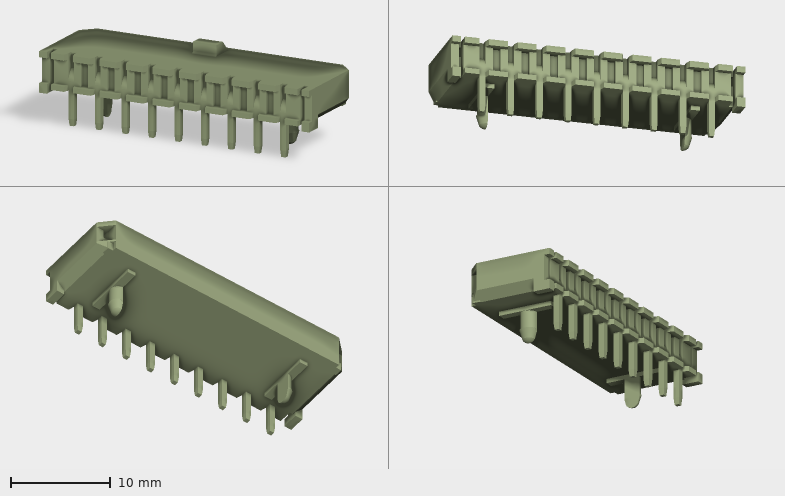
import cadquery as cq
import math


LENGTH = 30.65
DEPTH = 9.9
TOP_Z = 4.35
BASE_Z = 0.45
WALL_Y = 0.65
UPPER_LIP_Z = 3.7
LOWER_LIP_Z = 1.0
CORNER_CHAMFER = 1.38
BOTTOM_CHAMFER = 0.95
CORNER_RECESS_Z = 1.65

KEY_X = 14.55
KEY_REAR_Y = 9.4
KEY_TOP_Z = 1.4

FOOT_WIDTH = 0.85
FOOT_DEPTH = 1.87
SLOT_WIDTH = 0.45
SLOT_DEPTH = 1.5
CHANNEL_Z = 2.7

PIN_COUNT = 9
PITCH = 3.0
PIN_SIZE = 0.65
TIP_Z = -3.22
PIN_TAPER = 0.75
PIN_TIP_SIZE = 0.5
PIN_BEND_Z = 1.47
PIN_BEND_RADIUS = 1.45
NOTCH_MOUTH = 1.05
GROOVE_WIDTH = 0.83
GROOVE_DEPTH = 0.45

LATCH_WIDTH = 2.7
LATCH_FRONT_Y = 6.6
LATCH_HEIGHT = 1.2
LATCH_TOP_LENGTH = 1.32
LATCH_FILLET = 0.25

RAIL_INNER_X = 10.3
RAIL_WIDTH = 0.92
RAIL_FRONT_Y = 2.25
RAIL_LENGTH = 6.0
PEG_Y = 5.3
PEG_RADIUS = 0.9
PEG_BARB_Z = -1.85
PEG_BARB_RADIUS = 0.98
PEG_KNEE_Z = -2.85
PEG_KNEE_RADIUS = 0.67

HALF = LENGTH / 2
PIN_REAR_Y = WALL_Y + PIN_SIZE
SLOT_OUTER_X = HALF - FOOT_WIDTH
SLOT_INNER_X = SLOT_OUTER_X - SLOT_WIDTH
RECESS_X = HALF - CORNER_CHAMFER
PIN_XS = [(i - (PIN_COUNT - 1) / 2) * PITCH for i in range(PIN_COUNT)]


def block(x0, x1, y0, y1, z0, z1):
    """Box between two opposite corners."""
    return cq.Workplane("XY").box(x1 - x0, y1 - y0, z1 - z0, centered=False).translate((x0, y0, z0))


def both_ends(solid):
    """The +X solid together with its mirror image at -X."""
    return solid.union(solid.mirror("YZ"))


def make_shell():
    """Main block with sloped end edges, rear corner chamfers, lips and feet."""
    end_outline = [
        (-HALF, TOP_Z),
        (HALF, TOP_Z),
        (HALF, BASE_Z + BOTTOM_CHAMFER),
        (HALF - BOTTOM_CHAMFER, BASE_Z),
        (BOTTOM_CHAMFER - HALF, BASE_Z),
        (-HALF, BASE_Z + BOTTOM_CHAMFER),
    ]
    shell = cq.Workplane("XZ").polyline(end_outline).close().extrude(-DEPTH)
    foot = block(SLOT_OUTER_X, HALF, 0, FOOT_DEPTH, 0, TOP_Z)
    shell = shell.union(both_ends(foot))
    shell = shell.cut(block(-HALF, HALF, 0, WALL_Y, LOWER_LIP_Z, UPPER_LIP_Z))
    corner = (
        cq.Workplane("XY")
        .polyline([(HALF, DEPTH), (RECESS_X, DEPTH), (HALF, DEPTH - CORNER_CHAMFER)])
        .close()
        .extrude(TOP_Z)
    )
    return shell.cut(both_ends(corner))


def cut_ends(body):
    """Front slots, channels behind them, and stepped rear corners."""
    slot = block(SLOT_INNER_X, SLOT_OUTER_X, 0, SLOT_DEPTH, 0, TOP_Z)
    channel = block(SLOT_INNER_X, SLOT_OUTER_X, 0, DEPTH, CHANNEL_Z, UPPER_LIP_Z)
    recess = block(RECESS_X, HALF, DEPTH - CORNER_CHAMFER, DEPTH, CORNER_RECESS_Z, UPPER_LIP_Z)
    lower_step = block(RECESS_X, HALF, KEY_REAR_Y, DEPTH, BASE_Z, KEY_TOP_Z)
    for cutter in (slot, channel, recess, lower_step):
        body = body.cut(both_ends(cutter))
    key = block(RECESS_X, KEY_X, DEPTH - CORNER_CHAMFER, KEY_REAR_Y, BASE_Z, KEY_TOP_Z)
    return body.union(both_ends(key))


def pin_passage(x):
    """Flared lip notch leading into the upright pin channel."""
    outline = [
        (x - NOTCH_MOUTH / 2, 0),
        (x + NOTCH_MOUTH / 2, 0),
        (x + PIN_SIZE / 2, WALL_Y),
        (x + PIN_SIZE / 2, PIN_REAR_Y),
        (x - PIN_SIZE / 2, PIN_REAR_Y),
        (x - PIN_SIZE / 2, WALL_Y),
    ]
    return cq.Workplane("XY").polyline(outline).close().extrude(TOP_Z)


def make_pin(x):
    """Square tail with a rounded elbow on top and a tapered tip."""
    taper_z = TIP_Z + PIN_TAPER
    bend_y = WALL_Y + PIN_BEND_RADIUS - PIN_REAR_Y
    elbow_z = PIN_BEND_Z + math.sqrt(PIN_BEND_RADIUS**2 - bend_y**2)
    half_angle = math.acos(bend_y / PIN_BEND_RADIUS) / 2
    arc_mid = (
        WALL_Y + PIN_BEND_RADIUS * (1 - math.cos(half_angle)),
        PIN_BEND_Z + PIN_BEND_RADIUS * math.sin(half_angle),
    )
    tail = (
        cq.Workplane("YZ")
        .workplane(offset=x - PIN_SIZE / 2)
        .moveTo(WALL_Y, taper_z)
        .lineTo(WALL_Y, PIN_BEND_Z)
        .threePointArc(arc_mid, (PIN_REAR_Y, elbow_z))
        .lineTo(PIN_REAR_Y, taper_z)
        .close()
        .extrude(PIN_SIZE)
    )
    tip = (
        cq.Workplane("XY", origin=(x, WALL_Y + PIN_SIZE / 2, taper_z))
        .rect(PIN_SIZE, PIN_SIZE)
        .workplane(offset=-PIN_TAPER)
        .rect(PIN_TIP_SIZE, PIN_TIP_SIZE)
        .loft(ruled=True)
    )
    return tail.union(tip)


def make_latch():
    """Ramp with a concave fillet along the foot of its upright front face."""
    top_rear_y = LATCH_FRONT_Y + LATCH_TOP_LENGTH
    ramp = [
        (LATCH_FRONT_Y, TOP_Z),
        (LATCH_FRONT_Y, TOP_Z + LATCH_HEIGHT),
        (top_rear_y, TOP_Z + LATCH_HEIGHT),
        (top_rear_y + LATCH_HEIGHT, TOP_Z),
    ]
    side_plane = cq.Workplane("YZ", origin=(-LATCH_WIDTH / 2, 0, 0))
    latch = side_plane.polyline(ramp).close().extrude(LATCH_WIDTH)
    corner_to_arc = LATCH_FILLET * (1 - math.sqrt(0.5))
    fillet = (
        side_plane.moveTo(LATCH_FRONT_Y, TOP_Z)
        .lineTo(LATCH_FRONT_Y, TOP_Z + LATCH_FILLET)
        .threePointArc(
            (LATCH_FRONT_Y - corner_to_arc, TOP_Z + corner_to_arc),
            (LATCH_FRONT_Y - LATCH_FILLET, TOP_Z),
        )
        .close()
        .extrude(LATCH_WIDTH)
    )
    return latch.union(fillet)


def make_rail_and_peg():
    """Standoff rail and barbed half-round peg on the +X side."""
    rail_outer_x = RAIL_INNER_X + RAIL_WIDTH
    rail_rear_y = RAIL_FRONT_Y + RAIL_LENGTH
    rail = block(RAIL_INNER_X, rail_outer_x, RAIL_FRONT_Y, rail_rear_y, 0, BASE_Z)
    dome_height = PEG_KNEE_Z - TIP_Z
    dome_radius = (PEG_KNEE_RADIUS**2 + dome_height**2) / (2 * dome_height)
    dome_angle = math.asin(PEG_KNEE_RADIUS / dome_radius) / 2
    dome_mid = (
        dome_radius * math.sin(dome_angle),
        TIP_Z + dome_radius * (1 - math.cos(dome_angle)),
    )
    peg = (
        cq.Workplane("XZ")
        .moveTo(0, BASE_Z)
        .lineTo(PEG_RADIUS, BASE_Z)
        .lineTo(PEG_RADIUS, PEG_BARB_Z)
        .lineTo(PEG_BARB_RADIUS, PEG_BARB_Z)
        .lineTo(PEG_KNEE_RADIUS, PEG_KNEE_Z)
        .threePointArc(dome_mid, (0, TIP_Z))
        .close()
        .revolve(360, (0, 0, 0), (0, 1, 0))
    )
    peg = peg.intersect(block(0, HALF, -PEG_RADIUS, PEG_RADIUS, TIP_Z, BASE_Z))
    return rail.union(peg.translate((RAIL_INNER_X, PEG_Y, 0)))


def make_groove(x):
    """Upright relief in the front wall, centred on x."""
    x0 = x - GROOVE_WIDTH / 2
    return block(x0, x0 + GROOVE_WIDTH, WALL_Y, WALL_Y + GROOVE_DEPTH, LOWER_LIP_Z, UPPER_LIP_Z)


body = cut_ends(make_shell())
for pin_x in PIN_XS[:-1]:
    body = body.cut(make_groove(pin_x + PITCH / 2))
for pin_x in PIN_XS:
    body = body.cut(pin_passage(pin_x)).union(make_pin(pin_x))

result = body.union(make_latch()).union(both_ends(make_rail_and_peg()))